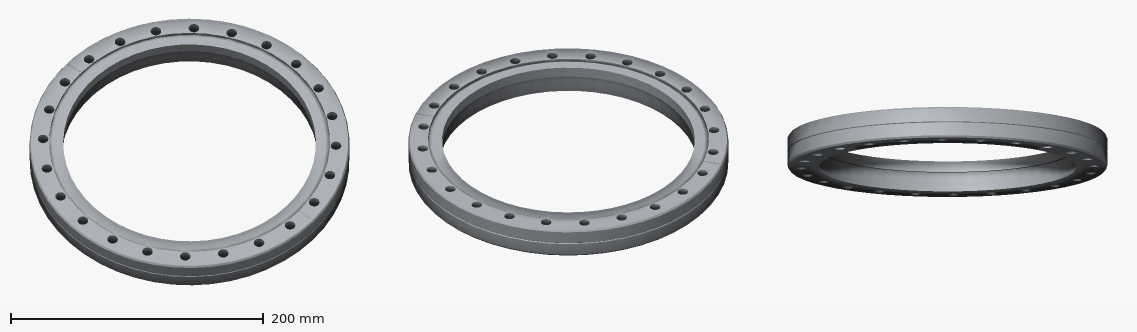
import cadquery as cq

outer_radius = 126.5
thickness = 24.5
half_thickness = thickness / 2
bore_radius = 100.0
lower_bore_radius = 102.0
bore_step_depth = 9.4
rim_chamfer_width = 1.0
rim_chamfer_height = 1.5

recess_radius = 111.2
recess_depth = 2.3
knife_radius = 108.4
knife_drop = 0.8

rim_groove_depth = 0.5
rim_groove_half_width = 0.5

hole_count = 24
hole_spacing = 360 / hole_count
bolt_circle_radius = 116.0
hole_diameter = 8.4

leak_groove_width = 2.3
leak_groove_depth = 0.3
leak_groove_angle = hole_spacing / 2


def ring_body():
    """Revolve the half section, with the bore step, recess and rim groove included."""
    knife_height = half_thickness - knife_drop
    recess_floor = half_thickness - recess_depth
    chamfer_start = half_thickness - rim_chamfer_height
    sealing_face = [
        (bore_radius, knife_height),
        (knife_radius, knife_height),
        (recess_radius, recess_floor),
        (recess_radius, half_thickness),
    ]
    rim = [
        (outer_radius - rim_chamfer_width, half_thickness),
        (outer_radius, chamfer_start),
        (outer_radius, rim_groove_half_width),
        (outer_radius - rim_groove_depth, 0),
        (outer_radius, -rim_groove_half_width),
        (outer_radius, -chamfer_start),
        (outer_radius - rim_chamfer_width, -half_thickness),
    ]
    bore_step_height = half_thickness - bore_step_depth
    lower_bore = [
        (lower_bore_radius, -half_thickness),
        (lower_bore_radius, bore_step_height),
        (bore_radius, bore_step_height),
    ]
    section = cq.Workplane("XZ").polyline(sealing_face + rim + lower_bore).close()
    return section.revolve(360, (0, 0), (0, 1))


def bolt_holes():
    """Through holes evenly spaced on the bolt circle."""
    return (
        cq.Workplane("XY", origin=(0, 0, -half_thickness))
        .polarArray(bolt_circle_radius, 0, 360, hole_count)
        .circle(hole_diameter / 2)
        .extrude(thickness)
    )


def leak_groove(angle):
    """Radial groove from the recess to the rim in the top face."""
    middle_radius = (knife_radius + outer_radius) / 2
    return (
        cq.Workplane("XY")
        .box(outer_radius - knife_radius, leak_groove_width, 2 * leak_groove_depth)
        .translate((middle_radius, 0, half_thickness))
        .rotate((0, 0, 0), (0, 0, 1), angle)
    )


result = ring_body().cut(bolt_holes())
for angle in (leak_groove_angle, leak_groove_angle + 180):
    result = result.cut(leak_groove(angle))